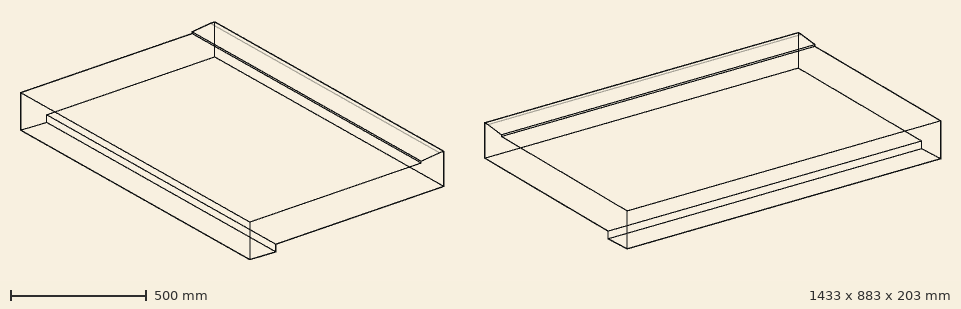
import cadquery as cq

length = 1433.0
depth = 883.0
height = 203.0

slab_fall = 36.0
front_height = 152.0
back_thickness = 142.0

foot_depth = 119.0

ledge_depth = 20.0
wedge_depth = 103.0
wedge_fall = 13.0
ledge_fall = 0.9

slope = slab_fall / depth
front_y = -depth / 2
back_y = depth / 2
foot_y = front_y + foot_depth
wedge_y = back_y - wedge_depth
back_bottom_z = height - back_thickness


def slab_top(y):
    """Height of the sloping top surface at y."""
    return front_height + slope * (y - front_y)


def slab_underside(y):
    """Height of the sloping underside at y."""
    return back_bottom_z - slope * (back_y - y)


profile = [
    (front_y, 0),
    (front_y, front_height),
    (wedge_y, slab_top(wedge_y)),
    (wedge_y, height - wedge_fall),
    (back_y - ledge_depth, height - ledge_fall),
    (back_y, height),
    (back_y, back_bottom_z),
    (foot_y, slab_underside(foot_y)),
    (foot_y, 0),
]

result = cq.Workplane("YZ").polyline(profile).close().extrude(length / 2, both=True)